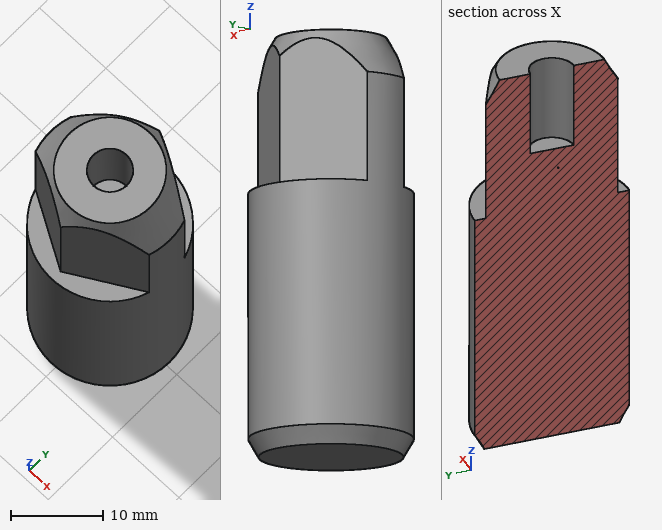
import cadquery as cq
import math

length = 46.0
diameter = 18.0
radius = diameter / 2

cone_angle = math.radians(30)
bottom_cone_height = 2.0
top_cone_height = 5.0
bottom_radius = radius - bottom_cone_height * math.tan(cone_angle)
top_radius = radius - top_cone_height * math.tan(cone_angle)

flats_start = 29.0
across_flats = 13.35
flat_slope = math.radians(30)
ridge_y = across_flats / 2 / math.cos(flat_slope)
corner_x = ridge_y / math.tan(flat_slope)

hole_diameter = 5.0
hole_depth = 10.0


def turned_body():
    """Solid of revolution with a cone at each end."""
    return (
        cq.Workplane("XZ")
        .moveTo(0, 0)
        .lineTo(bottom_radius, 0)
        .lineTo(radius, bottom_cone_height)
        .lineTo(radius, length - top_cone_height)
        .lineTo(top_radius, length)
        .lineTo(0, length)
        .close()
        .revolve(360, (0, 0, 0), (0, 1, 0))
    )


def flats_cutter():
    """Material outside the diamond section; its X corners lie beyond the body."""
    diamond = [(corner_x, 0), (0, ridge_y), (-corner_x, 0), (0, -ridge_y)]
    flats_height = length - flats_start
    plane = cq.Workplane("XY").workplane(offset=flats_start)
    kept = plane.polyline(diamond).close().extrude(flats_height)
    return plane.circle(diameter).extrude(flats_height).cut(kept)


result = (
    turned_body()
    .cut(flats_cutter())
    .faces(">Z")
    .workplane(origin=(0, 0, length))
    .hole(hole_diameter, hole_depth)
)